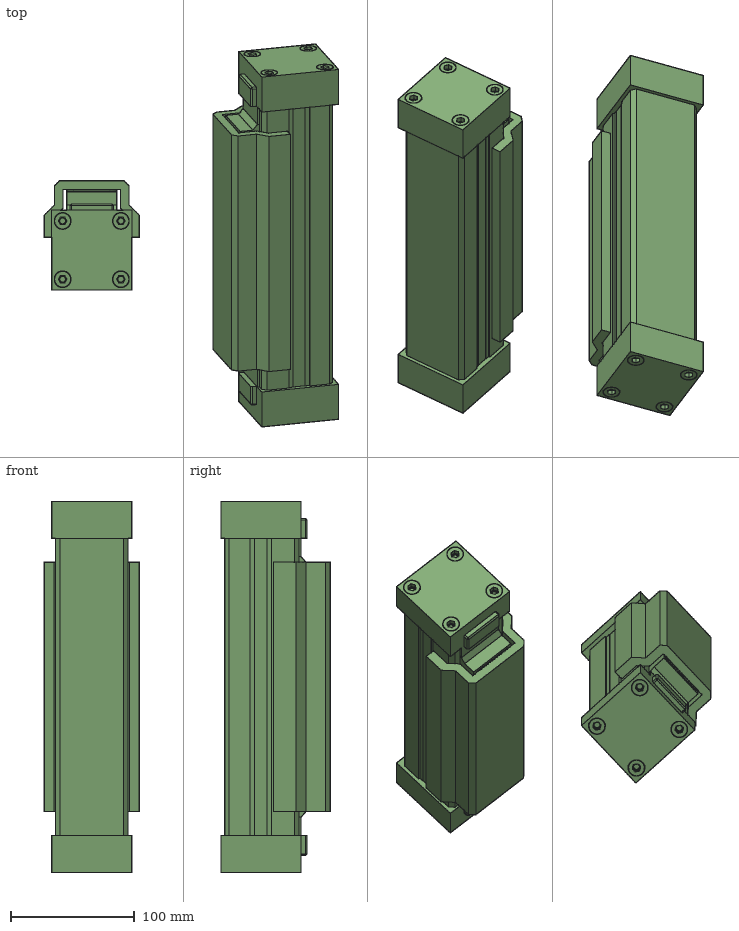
import cadquery as cq
import math


total_length = 300.0
middle_z = total_length / 2
cap_size = 64.8
cap_length = 30.0
cap_half = cap_size / 2

tube_half_width = 29.5
tube_front_inset = 3.0
tube_back_inset = 1.8
tube_chamfer = 3.5
tube_length = total_length - 2 * cap_length
tube_front = -cap_half + tube_front_inset
tube_back = cap_half - tube_back_inset

groove_y = -0.3
groove_mouth_width = 17.5
groove_slot_width = 10.2
groove_mouth_depth = 1.2
groove_slot_depth = 1.5

clamp_width = 35.5
clamp_height = 4.8
clamp_length = 16.2
clamp_chamfer = 1.2

screw_spacing = 47.0
counterbore_diameter = 13.5
head_diameter = 13.0
head_height = 6.0
socket_flats = 6.0
socket_corners = socket_flats / math.cos(math.pi / 6)
socket_depth = 4.2
socket_bore_diameter = 4.8
socket_bore_depth = 1.2

carriage_length = 201.5
carriage_width = 40.5
carriage_height = 14.7
carriage_ramp_height = 4.0
carriage_ramp_length = 4.5

rail_width = carriage_width
rail_length = (tube_length - carriage_length) / 2 - carriage_ramp_length

bracket_width = 77.0
bracket_back = cap_half + 23.7
bracket_neck_width = 60.5
bracket_cavity_width = 46.2
bracket_leg_gap = 61.2
bracket_wall = 7.2
bracket_depth = 46.0
bracket_chamfer = 4.2
shoulder_back = cap_half + 4.0
cavity_shoulder = cap_half + 1.5

pad_thickness = 1.2
pad_end_inset = 1.5
pad_corner_radius = 5.7


def make_tube():
    middle_y = (tube_front + tube_back) / 2
    tube = (
        cq.Workplane("XY", origin=(0, middle_y, cap_length))
        .rect(2 * tube_half_width, tube_back - tube_front)
        .extrude(tube_length)
        .edges("|Z")
        .chamfer(tube_chamfer)
    )
    for side in (-1, 1):
        for width, depth in (
            (groove_mouth_width, groove_mouth_depth),
            (groove_slot_width, groove_slot_depth),
        ):
            groove = (
                cq.Workplane("XY", origin=(side * tube_half_width, groove_y, cap_length))
                .rect(2 * depth, width)
                .extrude(tube_length)
            )
            tube = tube.cut(groove)
    return tube


def make_top_rail():
    return (
        cq.Workplane("XY")
        .box(rail_width, tube_back_inset, rail_length, centered=(True, False, False))
        .translate((0, tube_back, total_length - cap_length - rail_length))
    )


def make_screw_gap():
    """Material missing around and inside one screw head, measured down from Z = 0."""
    ring = (
        cq.Workplane("XY")
        .circle(counterbore_diameter / 2)
        .circle(head_diameter / 2)
        .extrude(-head_height)
    )
    socket = (
        cq.Workplane("XY")
        .polygon(6, socket_corners)
        .extrude(-socket_depth)
    )
    socket_bore = (
        cq.Workplane("XY")
        .circle(socket_bore_diameter / 2)
        .extrude(-socket_depth - socket_bore_depth)
    )
    return ring.union(socket.union(socket_bore))


def make_clamp():
    """Block with its outer edges chamfered, except on the end that faces the carriage."""
    return (
        cq.Workplane("XY")
        .box(clamp_width, clamp_height, clamp_length, centered=(True, False, False))
        .faces(">Y or >Z")
        .edges("(not <Z) and (not <Y)")
        .chamfer(clamp_chamfer)
    )


def make_top_cap():
    cap_bottom = total_length - cap_length
    cap = (
        cq.Workplane("XY", origin=(0, 0, cap_bottom))
        .rect(cap_size, cap_size)
        .extrude(cap_length)
        .union(make_clamp().translate((0, cap_half, cap_bottom)))
    )
    screw_gap = make_screw_gap()
    for x in (-screw_spacing / 2, screw_spacing / 2):
        for y in (-screw_spacing / 2, screw_spacing / 2):
            cap = cap.cut(screw_gap.translate((x, y, total_length)))
    return cap


def make_cylinder():
    """Tube with a rail and a cap at each end, the bottom end mirroring the top."""
    top_end = make_top_cap().union(make_top_rail())
    bottom_end = top_end.mirror("XY", (0, 0, middle_z))
    return make_tube().union(top_end).union(bottom_end)


def make_carriage():
    half = carriage_length / 2
    foot = half + carriage_ramp_length
    return (
        cq.Workplane("YZ", origin=(-carriage_width / 2, cap_half, middle_z))
        .moveTo(-tube_back_inset, -foot)
        .lineTo(0, -foot)
        .lineTo(carriage_ramp_height, -half)
        .lineTo(carriage_height, -half)
        .lineTo(carriage_height, half)
        .lineTo(carriage_ramp_height, half)
        .lineTo(0, foot)
        .lineTo(-tube_back_inset, foot)
        .close()
        .extrude(carriage_width)
    )


def make_bracket():
    outer = bracket_width / 2
    neck = bracket_neck_width / 2
    cavity = bracket_cavity_width / 2
    leg_inner = bracket_leg_gap / 2
    ceiling = bracket_back - bracket_wall
    front = bracket_back - bracket_depth
    right_half = [
        (neck - bracket_chamfer, bracket_back),
        (neck, bracket_back - bracket_chamfer),
        (neck, shoulder_back),
        (outer, shoulder_back - (outer - neck)),
        (outer, front),
        (leg_inner, front),
        (leg_inner, cavity_shoulder - (leg_inner - cavity)),
        (cavity, cavity_shoulder),
        (cavity, ceiling),
    ]
    left_half = [(-x, y) for x, y in reversed(right_half)]
    start_z = middle_z - carriage_length / 2
    bracket = (
        cq.Workplane("XY", origin=(0, 0, start_z))
        .polyline(right_half + left_half)
        .close()
        .extrude(carriage_length)
    )
    pad = (
        cq.Workplane("XZ", origin=(0, ceiling, middle_z))
        .rect(carriage_width, carriage_length - 2 * pad_end_inset)
        .extrude(pad_thickness)
        .edges("|Y")
        .fillet(pad_corner_radius)
    )
    return bracket.union(pad)


cylinder = make_cylinder()
carriage = make_carriage()
bracket = make_bracket()

result = cq.Compound.makeCompound(
    [cylinder.solids().val(), carriage.solids().val(), bracket.solids().val()]
)